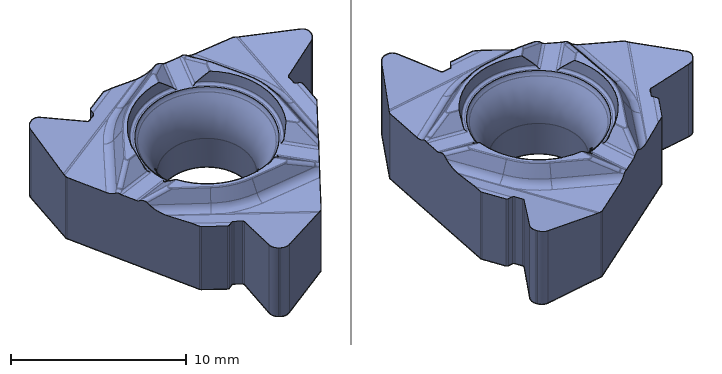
import cadquery as cq
import math

TOOTH_COUNT = 3
HEIGHT = 6.05
PITCH = 360 / TOOTH_COUNT
SIDE_DISTANCE = 6.35

TOOTH_X = -3.86
TOOTH_APEX_Y = 9.98
TOOTH_HALF_ANGLE = 30
TOOTH_NOSE_Y = 9.29
TOOTH_NOSE_RADIUS = 0.62
SIDE_CORNER_RADIUS = 0.21

LAND_Y = 7.0
NOTCH_FLOOR_Y = 6.61
NOTCH_END_X = -1.27
NOTCH_CORNER_RADIUS = 0.14
LAND_STRIP_WIDTH = 0.28

FLOOR_Z = 4.94
RAKE_START_Y = 5.87
RAKE_ANGLE = 10
RAKE_BLEND_RADIUS = 0.62
RAKE_RUN = 4.4
RAKE_END_X = 3.53
RAKE_DEPTH = 1.76

BOSS_TOP_RADIUS = 4.8
BOSS_WALL_SLOPE = 57
BOSS_FOOT_RADIUS = 0.7
BOSS_TOP_EDGE_RADIUS = 0.09
BOSS_FIRST_ARC_START = 90.8
BOSS_ARC_SPAN = 30

FIRST_CORNER_ANGLE = BOSS_FIRST_ARC_START + (BOSS_ARC_SPAN + PITCH) / 2
SLOT_FLOOR_Z = 5.22
SLOT_FLOOR_HALF_WIDTH = 0.56
SLOT_TOP_HALF_WIDTH = 1.52
SLOT_FLOOR_RADIUS = 0.28
SLOT_INNER_END = 2.65
SLOT_OUTER_END = 7.93
SLOT_EDGE_RADIUS = 0.26

BORE_RADIUS = 5.7 / 2
SEAT_CURVE_RADIUS = 3.7
SEAT_TOP_RADIUS = 3.95
SEAT_LIP_RADIUS = 4.1
SEAT_LIP_DROP = 0.26
RING_FLOOR_RADIUS = 4.35
RING_CORNER_RADIUS = 0.18
RING_TOP_RADIUS = 4.53

BLANK_RADIUS = 13.22
CLEARANCE = 0.35


def turned(shape, index, offset=0):
    return shape.rotate((0, 0, 0), (0, 0, 1), offset + index * PITCH)


def turned_point(point, angle):
    a = math.radians(angle)
    x, y = point
    return (x * math.cos(a) - y * math.sin(a), x * math.sin(a) + y * math.cos(a))


def polar(radius, angle):
    return turned_point((radius, 0), angle)


def outline_prism():
    flank = math.tan(math.radians(TOOTH_HALF_ANGLE))
    side_corner = (-SIDE_DISTANCE, TOOTH_APEX_Y - (TOOTH_X + SIDE_DISTANCE) / flank)
    nose_half_width = (TOOTH_APEX_Y - TOOTH_NOSE_Y) * flank
    notch_start = (TOOTH_X + (TOOTH_APEX_Y - NOTCH_FLOOR_Y) * flank, NOTCH_FLOOR_Y)
    notch_end = (NOTCH_END_X, NOTCH_FLOOR_Y)
    land_start = (NOTCH_END_X + (LAND_Y - NOTCH_FLOOR_Y) * flank, LAND_Y)
    land_end = (2 * SIDE_DISTANCE - LAND_Y * math.sqrt(3), LAND_Y)
    corners = [
        (side_corner, SIDE_CORNER_RADIUS),
        ((TOOTH_X - nose_half_width, TOOTH_NOSE_Y), TOOTH_NOSE_RADIUS),
        ((TOOTH_X + nose_half_width, TOOTH_NOSE_Y), TOOTH_NOSE_RADIUS),
        (notch_start, NOTCH_CORNER_RADIUS),
        (notch_end, NOTCH_CORNER_RADIUS),
        (land_start, NOTCH_CORNER_RADIUS),
        (land_end, SIDE_CORNER_RADIUS),
    ]
    points = [
        (turned_point(point, -index * PITCH), radius)
        for index in range(TOOTH_COUNT)
        for point, radius in corners
    ]
    prism = cq.Workplane("XY").polyline([point for point, radius in points]).close().extrude(HEIGHT)
    for (x, y), radius in points:
        prism = prism.edges(cq.NearestToPointSelector((x, y, HEIGHT / 2))).fillet(radius)
    return prism


def boss_on_floor():
    slope = math.tan(math.radians(BOSS_WALL_SLOPE))
    rise = HEIGHT - FLOOR_Z
    base_radius = BOSS_TOP_RADIUS + rise / slope
    corner_radius = base_radius / math.cos(math.radians((PITCH - BOSS_ARC_SPAN) / 2))
    path = cq.Workplane("XY").workplane(offset=FLOOR_Z)
    path = path.moveTo(*polar(base_radius, BOSS_FIRST_ARC_START))
    for index in range(TOOTH_COUNT):
        start = BOSS_FIRST_ARC_START + index * PITCH
        end = start + BOSS_ARC_SPAN
        path = path.threePointArc(polar(base_radius, (start + end) / 2), polar(base_radius, end))
        path = path.lineTo(*polar(corner_radius, FIRST_CORNER_ANGLE + index * PITCH))
        if index < TOOTH_COUNT - 1:
            path = path.lineTo(*polar(base_radius, start + PITCH))
    boss = path.close().extrude(rise, taper=90 - BOSS_WALL_SLOPE)
    body = cq.Workplane("XY").circle(BLANK_RADIUS).extrude(FLOOR_Z).union(boss)
    foot_limit = BLANK_RADIUS - CLEARANCE
    half_thickness = 0.02
    foot_box = cq.selectors.BoxSelector(
        (-foot_limit, -foot_limit, FLOOR_Z - half_thickness),
        (foot_limit, foot_limit, FLOOR_Z + half_thickness),
        boundingbox=True,
    )
    return body.edges(foot_box).fillet(BOSS_FOOT_RADIUS)


def rake_block():
    angle = math.radians(RAKE_ANGLE)
    tangent = RAKE_BLEND_RADIUS * math.tan(angle / 2)
    half = angle / 2
    blend_start = (RAKE_START_Y - tangent, FLOOR_Z)
    blend_middle = (
        blend_start[0] + RAKE_BLEND_RADIUS * math.sin(half),
        FLOOR_Z + RAKE_BLEND_RADIUS * (1 - math.cos(half)),
    )
    blend_end = (RAKE_START_Y + tangent * math.cos(angle), FLOOR_Z + tangent * math.sin(angle))
    outer_y = RAKE_START_Y + RAKE_RUN
    return (
        cq.Workplane("YZ", origin=(-SIDE_DISTANCE - CLEARANCE, 0, 0))
        .moveTo(*blend_start)
        .threePointArc(blend_middle, blend_end)
        .lineTo(outer_y, FLOOR_Z + RAKE_RUN * math.tan(angle))
        .lineTo(outer_y, FLOOR_Z - RAKE_DEPTH)
        .lineTo(blend_start[0], FLOOR_Z - RAKE_DEPTH)
        .close()
        .extrude(RAKE_END_X + SIDE_DISTANCE + CLEARANCE)
    )


def land_strip_cut():
    inner_y = LAND_Y - LAND_STRIP_WIDTH
    strip_z = FLOOR_Z + (inner_y - RAKE_START_Y) * math.tan(math.radians(RAKE_ANGLE))
    start_x = NOTCH_END_X - CLEARANCE
    strip = cq.Workplane("XY").box(
        RAKE_END_X - start_x, LAND_STRIP_WIDTH + CLEARANCE, HEIGHT - strip_z, centered=False
    )
    return strip.translate((start_x, inner_y, strip_z))


def slot_cut():
    rise = HEIGHT - SLOT_FLOOR_Z
    side_run = SLOT_TOP_HALF_WIDTH - SLOT_FLOOR_HALF_WIDTH
    cut_height = rise + CLEARANCE
    cut_half_width = SLOT_FLOOR_HALF_WIDTH + side_run * cut_height / rise
    slot = (
        cq.Workplane("YZ", origin=(SLOT_INNER_END, 0, SLOT_FLOOR_Z))
        .polyline([
            (-SLOT_FLOOR_HALF_WIDTH, 0),
            (SLOT_FLOOR_HALF_WIDTH, 0),
            (cut_half_width, cut_height),
            (-cut_half_width, cut_height),
        ])
        .close()
        .extrude(SLOT_OUTER_END - SLOT_INNER_END)
    )
    return slot.faces("<Z").edges("|X").fillet(SLOT_FLOOR_RADIUS)


def bore_cut():
    seat_run = SEAT_TOP_RADIUS - BORE_RADIUS
    seat_rise = math.sqrt(SEAT_CURVE_RADIUS ** 2 - (SEAT_CURVE_RADIUS - seat_run) ** 2)
    seat_top_z = SLOT_FLOOR_Z - SEAT_LIP_DROP
    seat_low_z = seat_top_z - seat_rise
    half_turn = math.acos(1 - seat_run / SEAT_CURVE_RADIUS) / 2
    seat_middle = (
        BORE_RADIUS + SEAT_CURVE_RADIUS * (1 - math.cos(half_turn)),
        seat_low_z + SEAT_CURVE_RADIUS * math.sin(half_turn),
    )
    bore = (
        cq.Workplane("XZ")
        .moveTo(0, 0)
        .lineTo(BORE_RADIUS, 0)
        .lineTo(BORE_RADIUS, seat_low_z)
        .threePointArc(seat_middle, (SEAT_TOP_RADIUS, seat_top_z))
        .tangentArcPoint((SEAT_LIP_RADIUS, SLOT_FLOOR_Z), relative=False)
        .lineTo(RING_FLOOR_RADIUS, SLOT_FLOOR_Z)
        .lineTo(RING_TOP_RADIUS, HEIGHT)
        .lineTo(0, HEIGHT)
        .close()
        .revolve(360, (0, 0, 0), (0, 1, 0))
    )
    ring_corner = bore.edges("%CIRCLE").filter(lambda edge: math.isclose(edge.radius(), RING_FLOOR_RADIUS))
    return ring_corner.fillet(RING_CORNER_RADIUS)


def is_slot_mouth_edge(edge):
    """Straight sloping edge where a slot side breaks through the outer wall of the boss."""
    box = edge.BoundingBox()
    near_top = box.zmax > HEIGHT - BOSS_TOP_EDGE_RADIUS
    sloping = edge.geomType() == "LINE" and box.zlen > BOSS_TOP_EDGE_RADIUS
    center = edge.Center()
    outside_seams = math.hypot(center.x, center.y) > BOSS_TOP_RADIUS + BOSS_FOOT_RADIUS
    return sloping and near_top and outside_seams


body = boss_on_floor()
for index in range(TOOTH_COUNT):
    body = body.cut(turned(slot_cut(), index, FIRST_CORNER_ANGLE))
body = body.edges().filter(is_slot_mouth_edge).fillet(SLOT_EDGE_RADIUS)
body = body.faces(">Z").edges().fillet(BOSS_TOP_EDGE_RADIUS)
for index in range(TOOTH_COUNT):
    body = body.union(turned(rake_block(), index))
for index in range(TOOTH_COUNT):
    body = body.cut(turned(land_strip_cut(), index))
result = cq.Workplane(body.cut(bore_cut()).intersect(outline_prism()).solids().val())